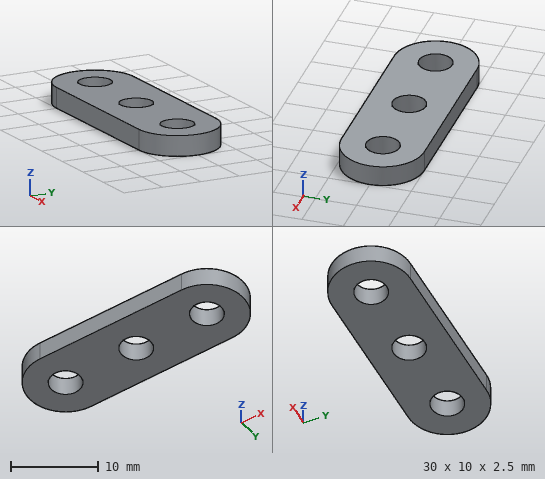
import cadquery as cq

length = 30.0
hole_count = 3
thickness = 2.5
hole_diameter = 4.0

width = length / hole_count
hole_pitch = width

plate = cq.Workplane("XY").slot2D(length, width).extrude(thickness)

result = (
    plate.faces(">Z")
    .workplane(origin=(0, 0, thickness))
    .rarray(hole_pitch, 0.3, hole_count, 1)
    .hole(hole_diameter)
)